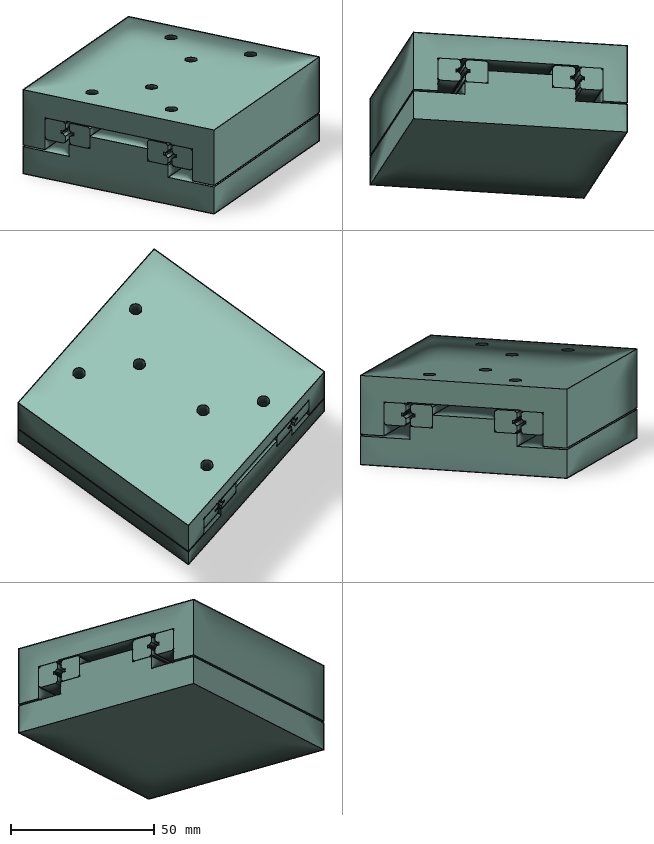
import cadquery as cq

side = 76.2
total_height = 31.8
half_side = side / 2

rail_width = 8.15
rail_height = 8.1
rail_bottom = 14.8
rail_gap = 1.6
rail_chamfer = 0.7
rail_top = rail_bottom + rail_height
groove_half_mouth = 1.4
groove_half_slot = 0.495
groove_depth = 1.7
vee_depth = groove_half_mouth - groove_half_slot

base_thickness = 10.2
pedestal_top = 19.35
foot_half_width = 19.8

carriage_gap = 0.6
carriage_bottom = base_thickness + carriage_gap
pocket_half_width = 29.4
relief_half_width = 20.7
relief_depth = 0.4

outer_rail_face = pocket_half_width - rail_width
inner_rail_face = outer_rail_face - rail_gap
neck_half_width = inner_rail_face - rail_width

hole_diameter = 4.2
corner_hole_x = 15.85
corner_hole_y = 28.6
middle_hole_y = corner_hole_y / 2


def extrude_along_stage(points):
    """Extrude a closed XZ outline over the full length of the stage in Y."""
    return cq.Workplane("XZ").polyline(points).close().extrude(half_side, both=True)


def box_along_stage(half_width, bottom, top):
    """A full-length bar, symmetric about X = 0, between two heights."""
    return extrude_along_stage([
        (-half_width, bottom),
        (half_width, bottom),
        (half_width, top),
        (-half_width, top),
    ])


def make_base():
    """Base plate with a wide rail-seat step and a narrow neck between the inner rails."""
    plate = box_along_stage(half_side, 0, base_thickness)
    foot = box_along_stage(foot_half_width, base_thickness, rail_bottom)
    neck = box_along_stage(neck_half_width, rail_bottom, pedestal_top)
    return plate.union(foot).union(neck)


def make_carriage():
    """Inverted channel with a relief over the inner rails and six mounting holes."""
    block = box_along_stage(half_side, carriage_bottom, total_height)
    pocket = box_along_stage(pocket_half_width, carriage_bottom, rail_top)
    relief = box_along_stage(relief_half_width, rail_top, rail_top + relief_depth)
    hole_centres = []
    for y_sign in (-1, 1):
        hole_centres.append((-corner_hole_x, y_sign * corner_hole_y))
        hole_centres.append((0, y_sign * middle_hole_y))
        hole_centres.append((corner_hole_x, y_sign * corner_hole_y))
    holes = (
        cq.Workplane("XY", origin=(0, 0, rail_top))
        .pushPoints(hole_centres)
        .circle(hole_diameter / 2)
        .extrude(total_height - rail_top)
    )
    return block.cut(pocket).cut(relief).cut(holes)


def make_rail(face_x, facing):
    """Rail whose grooved face lies at face_x and looks toward +X (facing 1) or -X (facing -1)."""
    back_x = face_x - facing * rail_width
    bar = (
        cq.Workplane("XY")
        .box(rail_width, side, rail_height)
        .edges("|Y")
        .chamfer(rail_chamfer)
        .translate(((face_x + back_x) / 2, 0, rail_bottom + rail_height / 2))
    )
    groove_z = rail_bottom + rail_height / 2
    vee_x = face_x - facing * vee_depth
    slot_x = face_x - facing * groove_depth
    groove = extrude_along_stage([
        (face_x, groove_z - groove_half_mouth),
        (vee_x, groove_z - groove_half_slot),
        (slot_x, groove_z - groove_half_slot),
        (slot_x, groove_z + groove_half_slot),
        (vee_x, groove_z + groove_half_slot),
        (face_x, groove_z + groove_half_mouth),
    ])
    return bar.cut(groove)


base = make_base()
carriage = make_carriage()
rails = []
for stage_side in (-1, 1):
    rails.append(make_rail(stage_side * outer_rail_face, -stage_side))
    rails.append(make_rail(stage_side * inner_rail_face, stage_side))

result = cq.Compound.makeCompound([base.val(), carriage.val(), *[rail.val() for rail in rails]])